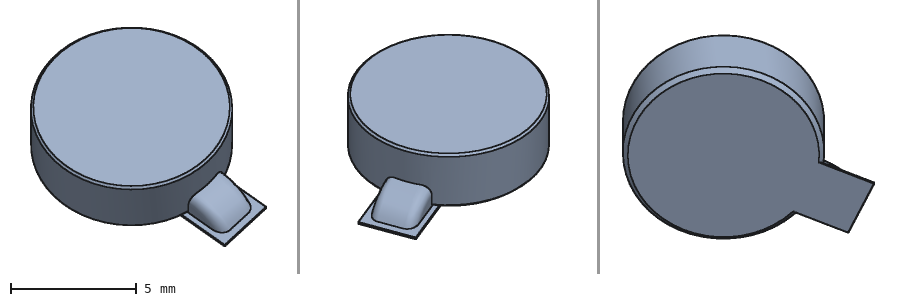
import cadquery as cq
import math

body_diameter = 8
body_height = 2.7
top_chamfer = 0.1
bottom_chamfer = 0.2

tab_start_x = 3
tab_end_x = 6
tab_width = 2.5
tab_thickness = 0.1

hump_width = 2
hump_height = 1.1
hump_radius = 2.18
hump_axis_x = 3.84
shoulder_radius = 0.45


def make_body():
    disc = cq.Workplane("XY").circle(body_diameter / 2).extrude(body_height)
    disc = disc.faces(">Z").edges().chamfer(top_chamfer)
    return disc.faces("<Z").edges().chamfer(bottom_chamfer)


def make_tab():
    tab_length = tab_end_x - tab_start_x
    return cq.Workplane("XY").box(
        tab_length, tab_width, tab_thickness, centered=(False, True, False)
    ).translate((tab_start_x, 0, 0))


def make_hump():
    axis_z = hump_height - hump_radius
    half_chord = math.sqrt(hump_radius**2 - (tab_thickness - axis_z) ** 2)
    drum = (
        cq.Workplane("XZ", origin=(hump_axis_x, 0, axis_z))
        .circle(hump_radius)
        .extrude(hump_width / 2, both=True)
        .edges()
        .fillet(shoulder_radius)
    )
    keep_length = hump_axis_x + half_chord - tab_start_x
    keep = cq.Workplane("XY").box(
        keep_length, hump_width, hump_height, centered=(False, True, False)
    ).translate((tab_start_x, 0, tab_thickness))
    return drum.intersect(keep)


result = make_body().union(make_tab()).union(make_hump())